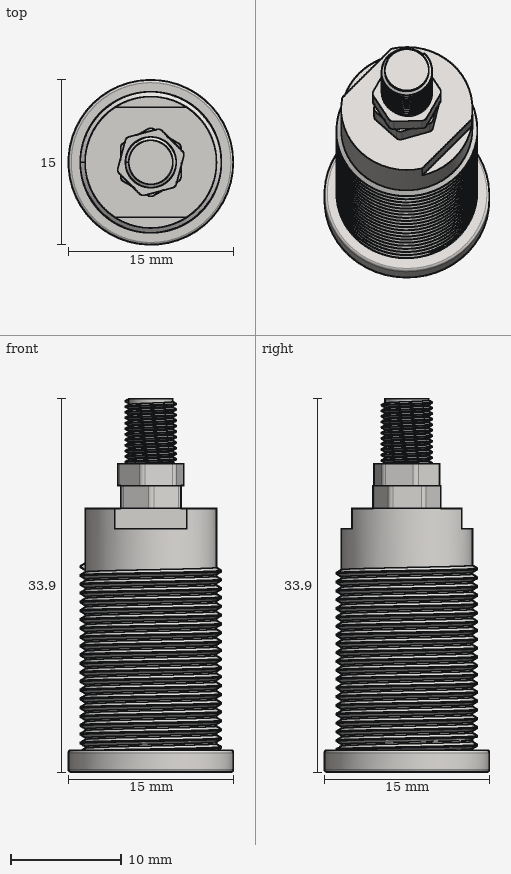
import cadquery as cq

flange_diameter = 15.0
flange_height = 2.0
flange_edge_radius = 0.25

body_diameter = 11.93
body_top = 23.95
flats_width = 10.0
flats_height = 1.83

hex_width = 5.5
lower_hex_height = 2.07
upper_hex_height = 2.0
hex_corner_radius = 0.5
lower_hex_turn = 0
upper_hex_turn = -15
lower_hex_top = body_top + lower_hex_height

stud_diameter = 4.0
total_height = 33.9

body_thread_pitch = 0.8
body_thread_depth = 0.45
body_thread_turns = 21
body_thread_end = 18.65
stud_thread_pitch = 0.502
stud_thread_depth = 0.3
stud_thread_turns = 12
stud_thread_end = 33.65
ridge_base_ratio = 0.8
ridge_crest_ratio = 0.125
ridge_root_overlap = 0.05


def cylinder(diameter, bottom, top):
    return cq.Workplane("XY").workplane(offset=bottom).circle(diameter / 2).extrude(top - bottom)


def flange():
    return cylinder(flange_diameter, 0, flange_height).edges().fillet(flange_edge_radius)


def body():
    flats_bottom = body_top - flats_height
    lower = cylinder(body_diameter, 0, flats_bottom)
    between_flats = (
        cq.Workplane("XY")
        .workplane(offset=flats_bottom)
        .rect(body_diameter, flats_width)
        .extrude(flats_height)
    )
    upper = cylinder(body_diameter, flats_bottom, body_top).intersect(between_flats)
    return lower.union(upper)


def hexagon(bottom, height, turn):
    """Hexagonal prism with rounded corners, turned about Z from having corners on the Y axis."""
    return (
        cq.Workplane("XY")
        .polygon(6, hex_width, circumscribed=True)
        .extrude(height)
        .edges("|Z")
        .fillet(hex_corner_radius)
        .rotate((0, 0, 0), (0, 0, 1), turn)
        .translate((0, 0, bottom))
    )


def thread_ridge(core_diameter, pitch, depth, turns, end_height):
    """Right-handed ridge whose upper end lies on the -X side, centred on end_height."""
    core_radius = core_diameter / 2
    crest_radius = core_radius + depth
    half_base = pitch * ridge_base_ratio / 2
    half_crest = pitch * ridge_crest_ratio / 2
    flank_slope = (half_base - half_crest) / depth
    sunk_radius = core_radius - ridge_root_overlap
    half_sunk = half_base + ridge_root_overlap * flank_slope
    length = turns * pitch

    helix = cq.Wire.makeHelix(pitch, length, core_radius)
    ridge = (
        cq.Workplane("XZ")
        .moveTo(sunk_radius, -half_sunk)
        .lineTo(crest_radius, -half_crest)
        .lineTo(crest_radius, half_crest)
        .lineTo(sunk_radius, half_sunk)
        .close()
        .sweep(cq.Workplane(obj=helix), isFrenet=True)
    )
    return ridge.rotate((0, 0, 0), (0, 0, 1), 180).translate((0, 0, end_height - length))


body_thread = thread_ridge(
    body_diameter, body_thread_pitch, body_thread_depth, body_thread_turns, body_thread_end
)
stud_thread = thread_ridge(
    stud_diameter, stud_thread_pitch, stud_thread_depth, stud_thread_turns, stud_thread_end
)

result = (
    body()
    .union(body_thread, clean=False)
    .union(flange(), clean=False)
    .union(cylinder(stud_diameter, body_top, total_height), clean=False)
    .union(stud_thread, clean=False)
    .union(hexagon(body_top, lower_hex_height, lower_hex_turn), clean=False)
    .union(hexagon(lower_hex_top, upper_hex_height, upper_hex_turn), clean=False)
)